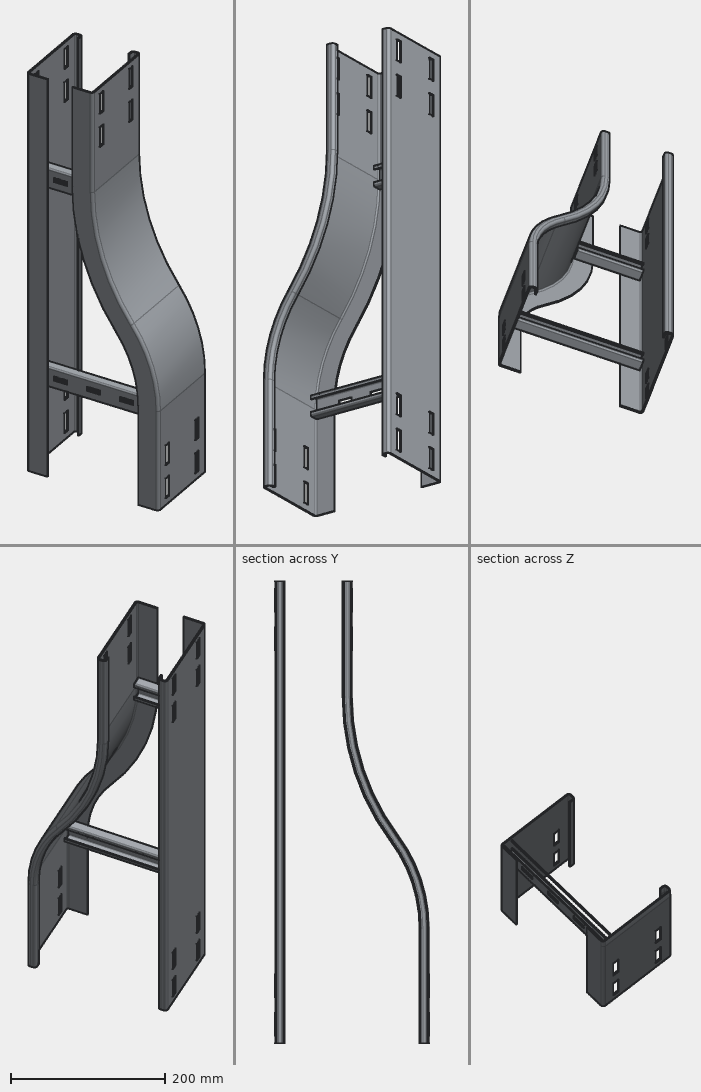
import cadquery as cq

LENGTH = 600.0
WIDE_END = LENGTH / 3
NARROW_END = 100.0
DEPTH = 120.0

SHEET = 2.1
BEND = 4.0
INNER_BEND = BEND - SHEET
FLANGE = 31.0
RETURN = 12.5
LIP = 9.5

STEP = WIDE_END - NARROW_END
BEND_START = LENGTH / 4
BEND_END = LENGTH - BEND_START
LOWER_SHARE = 0.4
INFLECTION_X = STEP * LOWER_SHARE
INFLECTION_Z = BEND_START + (BEND_END - BEND_START) * LOWER_SHARE

HOLE_PITCH = LENGTH / 12
RAIL_SLOT_LENGTH = 30.0
RAIL_SLOT_WIDTH = 9.0
RAIL_SLOT_Y = (23.0, 96.5)
LOWER_SLOT_HEIGHTS = (HOLE_PITCH / 2, HOLE_PITCH * 3 / 2)
UPPER_SLOT_HEIGHTS = [LENGTH - height for height in LOWER_SLOT_HEIGHTS]

RUNG_HEIGHT = 30.0
RUNG_DEPTH = 15.0
RUNG_SHEET = 2.0
RUNG_BEND = 2.1
RUNG_LIP = 6.0
RUNG_GAP = 5.0
RUNG_SLOT_LENGTH = LENGTH / 30
RUNG_SLOT_HEIGHT = 6.0
RUNGS = (
    (WIDE_END, BEND_START, 3),
    (NARROW_END, BEND_END, 1),
)


def rail_profile():
    """Section of a rail: wall along x = 0, flanges towards +X, front flange at y = 0."""
    return (
        cq.Workplane("XY")
        .moveTo(FLANGE, 0)
        .lineTo(BEND, 0)
        .radiusArc((0, BEND), BEND)
        .lineTo(0, DEPTH - BEND)
        .radiusArc((BEND, DEPTH), BEND)
        .lineTo(RETURN - BEND, DEPTH)
        .radiusArc((RETURN, DEPTH - BEND), BEND)
        .lineTo(RETURN, DEPTH - LIP)
        .lineTo(RETURN - SHEET, DEPTH - LIP)
        .lineTo(RETURN - SHEET, DEPTH - BEND)
        .radiusArc((RETURN - BEND, DEPTH - SHEET), -INNER_BEND)
        .lineTo(BEND, DEPTH - SHEET)
        .radiusArc((SHEET, DEPTH - BEND), -INNER_BEND)
        .lineTo(SHEET, BEND)
        .radiusArc((BEND, SHEET), -INNER_BEND)
        .lineTo(FLANGE, SHEET)
        .close()
    )


def wall_slots(wall_x, heights):
    """Cutters for the slots through a wall whose outer face is at wall_x."""
    centres = [(y, z) for y in RAIL_SLOT_Y for z in heights]
    return (
        cq.Workplane("YZ", origin=(wall_x, 0, 0))
        .pushPoints(centres)
        .rect(RAIL_SLOT_WIDTH, RAIL_SLOT_LENGTH)
        .extrude(SHEET)
    )


def make_straight_rail():
    """Rail running straight up the X = 0 side."""
    rail = rail_profile().extrude(LENGTH)
    rail = rail.cut(wall_slots(0, LOWER_SLOT_HEIGHTS))
    return rail.cut(wall_slots(0, UPPER_SLOT_HEIGHTS))


def make_curved_rail():
    """Rail that steps inwards through an S-bend, made left-handed and then mirrored."""
    path = (
        cq.Workplane("XZ")
        .lineTo(0, BEND_START)
        .tangentArcPoint((INFLECTION_X, INFLECTION_Z), relative=False)
        .tangentArcPoint((STEP, BEND_END), relative=False)
        .lineTo(STEP, LENGTH)
    )
    rail = rail_profile().sweep(path)
    rail = rail.cut(wall_slots(0, LOWER_SLOT_HEIGHTS))
    rail = rail.cut(wall_slots(STEP, UPPER_SLOT_HEIGHTS))
    return rail.mirror("YZ").translate((WIDE_END, 0, 0))


def rounded_bar(length, depth, height, radius):
    """Bar along X, centred on the origin, with its four long edges rounded."""
    return cq.Workplane("XY").box(length, depth, height).edges("|X").fillet(radius)


def make_rung(width, height, slot_count):
    """Lipped channel lying on the front flanges, centred at the given height, open towards +Y."""
    length = width - 2 * RUNG_GAP
    outer = rounded_bar(length, RUNG_DEPTH, RUNG_HEIGHT, RUNG_BEND)
    hollow = rounded_bar(
        length, RUNG_DEPTH - 2 * RUNG_SHEET, RUNG_HEIGHT - 2 * RUNG_SHEET, RUNG_BEND - RUNG_SHEET
    )
    opening = (
        cq.Workplane("XY")
        .box(length, RUNG_DEPTH, RUNG_HEIGHT - 2 * RUNG_LIP)
        .translate((0, RUNG_DEPTH / 2, 0))
    )
    rung = outer.cut(hollow).cut(opening).translate((width / 2, SHEET + RUNG_DEPTH / 2, height))
    slots = (
        cq.Workplane("XZ", origin=(0, SHEET + RUNG_SHEET, height))
        .pushPoints([(HOLE_PITCH * (i + 1), 0) for i in range(slot_count)])
        .rect(RUNG_SLOT_LENGTH, RUNG_SLOT_HEIGHT)
        .extrude(RUNG_SHEET)
    )
    return rung.cut(slots)


straight_rail = make_straight_rail()
curved_rail = make_curved_rail()
rungs = [make_rung(width, height, slot_count) for width, height, slot_count in RUNGS]

result = cq.Compound.makeCompound(
    [straight_rail.val(), curved_rail.val(), *[rung.val() for rung in rungs]]
)